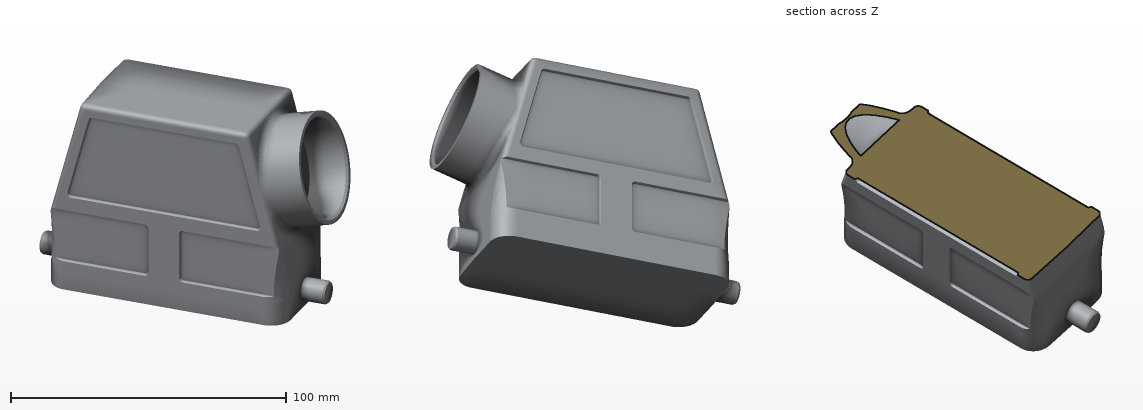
import cadquery as cq
import math

overall_length = 115.7

width = 43.0
half_width = width / 2
base_half_length = 46.9
base_height = 9.1
break_half_length = 45.4
break_height = 30.5
body_height = 76.0
wall_tilt = 15.0
draft = 1.0
base_corner_radius = 7.5
edge_radius = 2.0
break_blend_radius = 5.8

panel_depth = 1.0
panel_corner_radius = 1.5
panel_taper = 25.0
upper_panel_bottom = 37.5
upper_panel_top = 71.1
upper_panel_bottom_half_length = 38.3
lower_panel_bottom = 11.3
lower_panel_top = 32.0
lower_panel_gap = 12.0

pin_diameter = 8.8
pin_tip_diameter = 8.0
pin_tip_length = 0.8
pin_height = 6.5

spout_diameter = 41.6
spout_bore = 37.0
bore_mouth_diameter = 38.6
bore_mouth_depth = 0.8
spout_center_x = 54.4
spout_center_z = 56.7
spout_blend_radius = 2.3

tilt = math.radians(wall_tilt)
crown = half_width * math.tan(math.radians(draft))
wall_slope = math.tan(tilt)
lower_slope = (base_half_length - break_half_length) / (break_height - base_height)
bend_angle = tilt - math.atan(lower_slope)
blend_bottom = break_height - break_blend_radius * math.tan(bend_angle / 2)
top_half_length = break_half_length - (body_height - break_height) * wall_slope

pin_half_span = overall_length - (spout_center_x + spout_diameter / 2 * math.sin(tilt))

spout_plane = cq.Plane(
    origin=(spout_center_x, 0, spout_center_z),
    xDir=(0, 1, 0),
    normal=(math.cos(tilt), 0, math.sin(tilt)),
)
wall_x_at_mouth = break_half_length - (spout_center_z - break_height) * wall_slope
spout_length = (spout_center_x - wall_x_at_mouth) * math.cos(tilt)


def rounded_section(height, half_length, radius):
    """Horizontal section of the hood: crowned ends and four rounded corners."""
    corner_x = half_length - crown
    sketch = (
        cq.Sketch()
        .polygon([
            (-corner_x, -half_width),
            (corner_x, -half_width),
            (half_length, 0),
            (corner_x, half_width),
            (-corner_x, half_width),
            (-half_length, 0),
            (-corner_x, -half_width),
        ])
        .vertices("<Y or >Y")
        .fillet(radius)
    )
    return sketch.moved(cq.Location(cq.Vector(0, 0, height)))


def make_upper_half():
    """The +Y half of the hood above the bend, drafted away from the middle plane."""
    blank = (
        cq.Workplane("XZ")
        .polyline([
            (-base_half_length, base_height),
            (base_half_length, base_height),
            (break_half_length, break_height),
            (top_half_length, body_height),
            (-top_half_length, body_height),
            (-break_half_length, break_height),
        ])
        .close()
        .extrude(-half_width, taper=draft)
    )
    margin = 1.2
    bend_edges = cq.selectors.BoxSelector(
        (-base_half_length, margin, break_height - margin),
        (base_half_length, half_width - margin, break_height + margin),
    )
    top_end_edges = cq.selectors.BoxSelector(
        (-base_half_length, margin, body_height - margin),
        (base_half_length, half_width - margin, body_height + margin),
    )
    side_edges = cq.selectors.BoxSelector(
        (-base_half_length, half_width - margin, base_height + margin),
        (base_half_length, half_width + margin, body_height + margin),
    )
    return (
        blank
        .edges(bend_edges).fillet(break_blend_radius)
        .edges(top_end_edges + side_edges).fillet(edge_radius)
        .copyWorkplane(cq.Workplane("XY", origin=(0, 0, blend_bottom)))
        .split(keepTop=True)
    )


def make_body():
    base = (
        cq.Workplane("XY")
        .placeSketch(rounded_section(0, base_half_length, base_corner_radius))
        .extrude(base_height)
    )

    sections = []
    for fraction in (0, 0.5, 1):
        height = base_height + fraction * (blend_bottom - base_height)
        half_length = base_half_length - (height - base_height) * lower_slope
        radius = base_corner_radius - fraction**2 * (base_corner_radius - edge_radius)
        sections.append(rounded_section(height, half_length, radius))
    middle = cq.Workplane("XY").placeSketch(*sections).loft()

    upper_half = make_upper_half()
    return base.union(middle).union(upper_half).union(upper_half.mirror("XZ"))


def make_pins():
    tip_step = (pin_diameter - pin_tip_diameter) / 2
    return (
        cq.Workplane("YZ")
        .center(0, pin_height)
        .circle(pin_diameter / 2)
        .extrude(pin_half_span, both=True)
        .faces("<X or >X")
        .chamfer(pin_tip_length, tip_step)
    )


def make_panels():
    """Tapered blocks to cut from the -Y side of the hood, wider at the surface."""
    surface = cq.Workplane("XZ", origin=(0, -half_width, 0))
    upper_panel_top_half_length = (
        upper_panel_bottom_half_length - (upper_panel_top - upper_panel_bottom) * wall_slope
    )
    upper_panel = (
        cq.Sketch()
        .polygon([
            (-upper_panel_bottom_half_length, upper_panel_bottom),
            (upper_panel_bottom_half_length, upper_panel_bottom),
            (upper_panel_top_half_length, upper_panel_top),
            (-upper_panel_top_half_length, upper_panel_top),
            (-upper_panel_bottom_half_length, upper_panel_bottom),
        ])
        .vertices()
        .fillet(panel_corner_radius)
    )
    panels = surface.placeSketch(upper_panel).extrude(-panel_depth, taper=panel_taper)

    panel_length = 2 * (base_half_length - lower_panel_gap / 2)
    panel_height = lower_panel_top - lower_panel_bottom
    lower_panel = (
        cq.Sketch()
        .rect(panel_length, panel_height)
        .vertices()
        .fillet(panel_corner_radius)
    )
    for side in (-1, 1):
        place = cq.Location(cq.Vector(
            side * (lower_panel_gap + panel_length) / 2,
            (lower_panel_bottom + lower_panel_top) / 2,
            0,
        ))
        panel = surface.placeSketch(lower_panel.moved(place)).extrude(-panel_depth, taper=panel_taper)
        panels = panels.union(panel)
    return panels


def make_bore():
    """Blind bore with a bevelled mouth, ending at the plane of the sloped end wall."""
    straight = cq.Workplane(spout_plane).circle(spout_bore / 2).extrude(-spout_length)
    mouth = (
        cq.Workplane(spout_plane)
        .circle(bore_mouth_diameter / 2)
        .workplane(offset=-bore_mouth_depth)
        .circle(spout_bore / 2)
        .loft()
    )
    return straight.union(mouth)


def make_spout():
    """Solid spout whose root reaches inside the wall to meet the rounded side edges."""
    return (
        cq.Workplane(spout_plane)
        .circle(spout_diameter / 2)
        .extrude(-spout_length - edge_radius)
    )


body = make_body().union(make_spout())

spout_wall = body.faces("%CYLINDER").faces(cq.selectors.AreaNthSelector(-1))
body = spout_wall.edges("not %LINE").edges("not >X").fillet(spout_blend_radius)

panels = make_panels()
result = (
    body
    .union(make_pins())
    .cut(panels)
    .cut(panels.mirror("XZ"))
    .cut(make_bore())
)